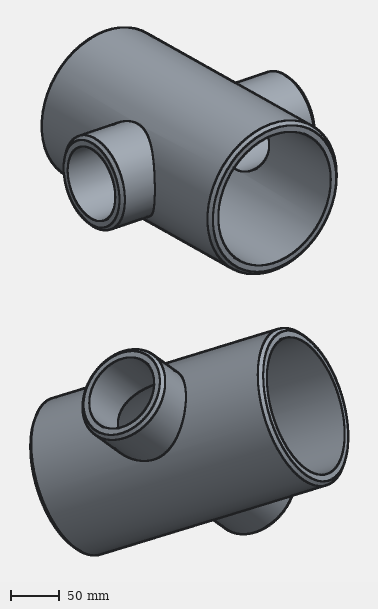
import cadquery as cq

run_length = 285.5
run_diameter = 168.28

branch_span = 254.0
branch_diameter = 101.6

wall = 11.0
bevel = 4.0


def centred_cylinder(plane, diameter, length):
    """Solid cylinder centred on the origin, along the normal of the plane."""
    return cq.Workplane(plane).circle(diameter / 2).extrude(length / 2, both=True)


def pipe_outside(plane, diameter, length):
    """Solid pipe envelope with both end edges bevelled."""
    return centred_cylinder(plane, diameter, length).faces("%PLANE").chamfer(bevel)


def pipe_bore(plane, diameter, length):
    """Through bore that leaves the pipe wall."""
    return centred_cylinder(plane, diameter - 2 * wall, length)


run_pipe = ("YZ", run_diameter, run_length)
branch_pipe = ("XZ", branch_diameter, branch_span)

result = pipe_outside(*run_pipe).union(pipe_outside(*branch_pipe))
for pipe in (run_pipe, branch_pipe):
    result = result.cut(pipe_bore(*pipe))